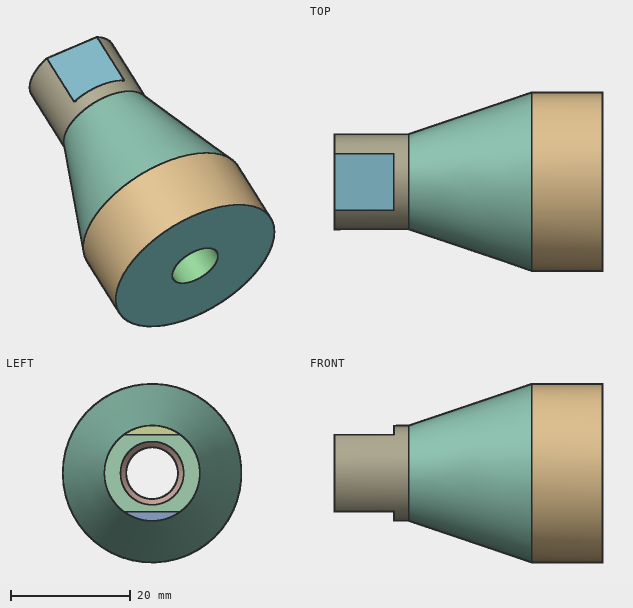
import cadquery as cq

total_length = 45.0
body_diameter = 30.0
body_length = 11.9
neck_diameter = 16.0
neck_length = 12.45

flat_length = 10.0
across_flats = 12.9

bore_diameter = 8.65
mouth_diameter = 10.6
mouth_depth = (mouth_diameter - bore_diameter) / 2

body_start = total_length - body_length


def turned_blank():
    """Neck, conical transition and cylindrical body as one revolved profile."""
    return (
        cq.Workplane("XY")
        .lineTo(0, neck_diameter / 2)
        .lineTo(neck_length, neck_diameter / 2)
        .lineTo(body_start, body_diameter / 2)
        .lineTo(total_length, body_diameter / 2)
        .lineTo(total_length, 0)
        .close()
        .revolve(360, (0, 0, 0), (1, 0, 0))
    )


def flat_cut(side):
    """Material removed above (side = 1) or below (side = -1) the neck."""
    cut_height = (neck_diameter - across_flats) / 2
    center_height = side * (across_flats + cut_height) / 2
    return (
        cq.Workplane("XY")
        .box(flat_length, neck_diameter, cut_height, centered=(False, True, True))
        .translate((0, 0, center_height))
    )


def bore():
    """Through bore including the conical mouth."""
    return (
        cq.Workplane("XY")
        .lineTo(0, mouth_diameter / 2)
        .lineTo(mouth_depth, bore_diameter / 2)
        .lineTo(total_length, bore_diameter / 2)
        .lineTo(total_length, 0)
        .close()
        .revolve(360, (0, 0, 0), (1, 0, 0))
    )


result = turned_blank()
for side in (1, -1):
    result = result.cut(flat_cut(side))
result = result.cut(bore())